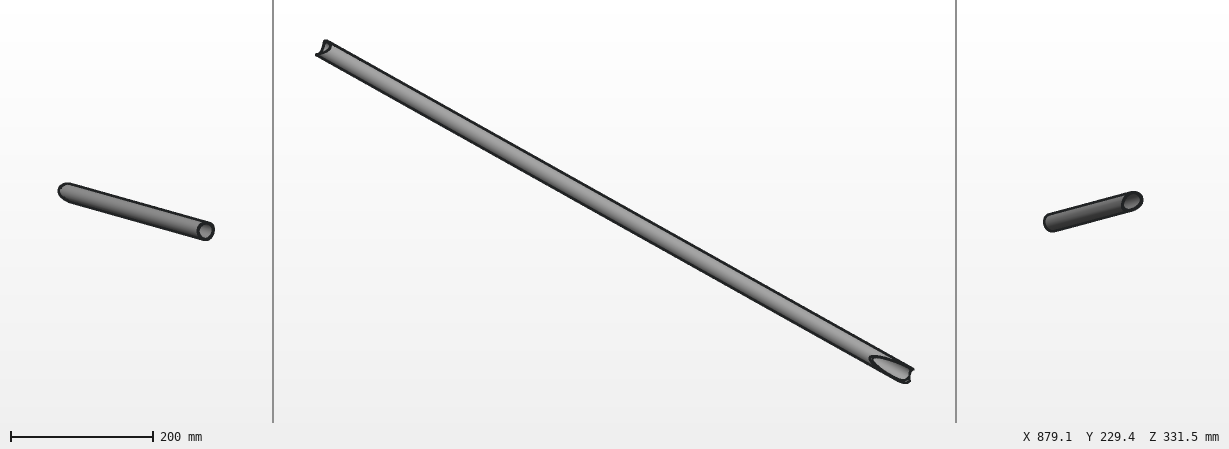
import cadquery as cq

tube_diameter = 25.0
wall_thickness = 1.5
tube_direction = cq.Vector(1, -0.2381, 0.36685).normalized()
node_distance = 969.9

lower_main_diameter = 29.2
lower_main_direction = cq.Vector(1, -0.124, -0.0137)
lower_cross_diameter = 47.6
lower_cross_direction = cq.Vector(0.138, 0.0765, 1)
lower_cross_position = -18.12

upper_diameter = 30.0
upper_direction = cq.Vector(-0.0098, 1, -0.7416)

end_allowance = 120.0
cutter_length = 400.0


def round_bar(diameter, length, start, direction):
    """Solid cylinder starting at a point and running along a direction."""
    return cq.Solid.makeCylinder(diameter / 2, length, start, direction)


def uncut_tube():
    """Hollow tube running past both joint centres."""
    start = tube_direction * -end_allowance
    length = node_distance + 2 * end_allowance
    bore_diameter = tube_diameter - 2 * wall_thickness
    outside = round_bar(tube_diameter, length, start, tube_direction)
    bore = round_bar(bore_diameter, length, start, tube_direction)
    return outside.cut(bore)


def joining_tube(diameter, direction, position):
    """Outside of a joined tube whose axis crosses the tube axis at a position along it."""
    axis = direction.normalized()
    centre = tube_direction * position
    start = centre - axis * (cutter_length / 2)
    return round_bar(diameter, cutter_length, start, axis)


def coped_tube():
    """Tube cut by the joined tubes, without the offcuts beyond them."""
    joints = [
        (lower_main_diameter, lower_main_direction, 0),
        (lower_cross_diameter, lower_cross_direction, lower_cross_position),
        (upper_diameter, upper_direction, node_distance),
    ]
    body = uncut_tube()
    for diameter, direction, position in joints:
        body = body.cut(joining_tube(diameter, direction, position))
    return max(body.Solids(), key=lambda solid: solid.Volume())


result = cq.Workplane(obj=coped_tube())